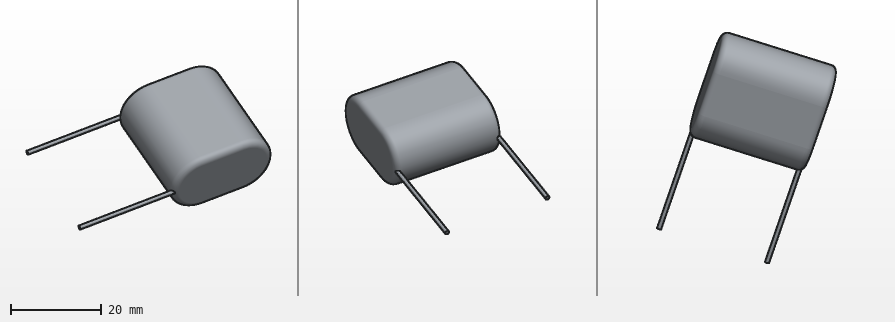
import cadquery as cq

body_length = 26.75
body_width = 25.0
body_thickness = 14.7
edge_radius = 1.5

lead_diameter = 1.0
lead_pitch = 25.25
lead_reach = 23.0


def make_body():
    """Stadium section extruded along X, with both end rims rounded."""
    return (
        cq.Workplane("YZ")
        .slot2D(body_width, body_thickness)
        .extrude(body_length / 2, both=True)
        .faces("<X or >X")
        .edges()
        .fillet(edge_radius)
    )


def make_lead(x):
    """Round wire at the given X, rooted on the body's mid-plane and running to -Y."""
    wire_length = body_width / 2 + lead_reach
    return (
        cq.Workplane("XZ")
        .center(x, 0)
        .circle(lead_diameter / 2)
        .extrude(wire_length)
    )


result = make_body()
for side in (-1, 1):
    result = result.union(make_lead(side * lead_pitch / 2))